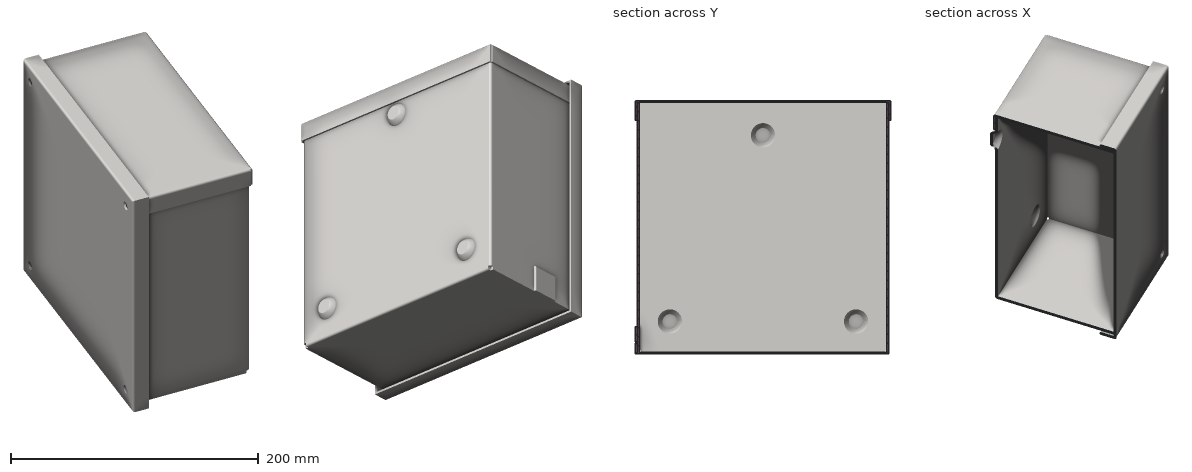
import cadquery as cq

sheet = 1.8
bend_outer = 2.0
bend_inner = bend_outer - sheet
overall_depth = 111.05

cover_half = 212.6 / 2
cover_depth = 14.2
cover_hole_dia = 7.37
cover_hole_pitch = 184.4

box_half = 203.2 / 2
box_front = sheet
box_back = 106.35
corner_relief = 3.0

cap_half_width = box_half + sheet
cap_top = box_half + sheet
cap_bottom = cap_top - 16.4
cap_back = box_back + sheet
cap_corner_gap = 1.2

foot_base_radius = 9.8
foot_tip_radius = 5.9
foot_height = overall_depth - box_back
foot_bulge_radius = 8.2
foot_bulge_height = 2.6
foot_offset = 75.2
foot_places = [(0, foot_offset), (-foot_offset, -foot_offset), (foot_offset, -foot_offset)]

pad_width = 25.0
pad_height = 22.5
pad_center_y = 41.5
pad_round = 1.2
pad_hole_dia = 0.79
pad_hole_rise = 9.5


def block(x_range, y_range, z_range):
    """Rectangular block between the given limits."""
    lows, highs = zip(x_range, y_range, z_range)
    sizes = [high - low for low, high in zip(lows, highs)]
    return cq.Workplane("XY").box(*sizes, centered=False).translate(lows)


def both_sides(half):
    """Limits that lie evenly about zero."""
    return (-half, half)


def make_cover():
    outer = block(both_sides(cover_half), (0, cover_depth), both_sides(cover_half))
    outer = outer.faces("<Y").edges().fillet(bend_outer)
    inner_half = cover_half - sheet
    inner = block(both_sides(inner_half), (sheet, cover_depth), both_sides(inner_half))
    inner = inner.faces("<Y").edges().fillet(bend_inner)
    holes = (
        cq.Workplane("XZ")
        .rect(cover_hole_pitch, cover_hole_pitch, forConstruction=True)
        .vertices()
        .circle(cover_hole_dia / 2)
        .extrude(-sheet)
    )
    return outer.cut(inner).cut(holes)


def box_form(inset, bend):
    """Filled box shape, set in from the outside by inset, with rounded back bends."""
    half_width = box_half - inset
    blank = block(
        both_sides(half_width),
        (box_front, box_back - inset),
        (inset - box_half, box_half),
    )
    side_bends = blank.edges("|Z and >Y").fillet(bend)
    bottom_bend = blank.edges("|X and >Y and <Z").fillet(bend)
    return side_bends.intersect(bottom_bend)


def foot_form(base_y):
    """Filled dome that rises toward +Y from base_y, centred on the Y axis."""
    return (
        cq.Workplane("XY", origin=(0, base_y, 0))
        .lineTo(foot_base_radius, 0)
        .threePointArc((foot_bulge_radius, foot_bulge_height), (foot_tip_radius, foot_height))
        .lineTo(0, foot_height)
        .close()
        .revolve(360, (0, 0), (0, 1))
    )


def make_box():
    box = box_form(0, bend_outer).cut(box_form(sheet, bend_inner))
    for x, z in foot_places:
        dome = foot_form(box_back).translate((x, 0, z))
        hollow = foot_form(box_back - sheet).translate((x, 0, z))
        box = box.union(dome).cut(hollow)
    for x in (-box_half, box_half - corner_relief):
        box = box.cut(
            block(
                (x, x + corner_relief),
                (box_back - corner_relief, box_back),
                (-box_half, corner_relief - box_half),
            )
        )
    return box


def make_cap():
    blank = block(both_sides(cap_half_width), (box_front, cap_back), (cap_bottom, cap_top))
    side_bends = blank.edges("|Y and >Z").fillet(bend_outer)
    back_bend = blank.edges("|X and >Y and >Z").fillet(bend_outer)
    hollow = block(both_sides(box_half), (box_front, box_back), (cap_bottom, box_half))
    cap = side_bends.intersect(back_bend).cut(hollow)
    for x in (-cap_half_width, cap_half_width - cap_corner_gap):
        cap = cap.cut(block((x, x + cap_corner_gap), (box_back, cap_back), (cap_bottom, cap_top)))
    return cap


def make_pad():
    pad = block(
        (-box_half - sheet, -box_half),
        (pad_center_y - pad_width / 2, pad_center_y + pad_width / 2),
        (-box_half, pad_height - box_half),
    )
    pad = pad.faces("<X").edges("|Z or >Z").fillet(pad_round)
    hole = (
        cq.Workplane("YZ", origin=(-box_half, pad_center_y, pad_hole_rise - box_half))
        .circle(pad_hole_dia / 2)
        .extrude(-sheet)
    )
    return pad.cut(hole)


cover = make_cover()
box = make_box()
cap = make_cap()
pad = make_pad()

result = cq.Compound.makeCompound([cover.val(), box.val(), cap.val(), pad.val()])